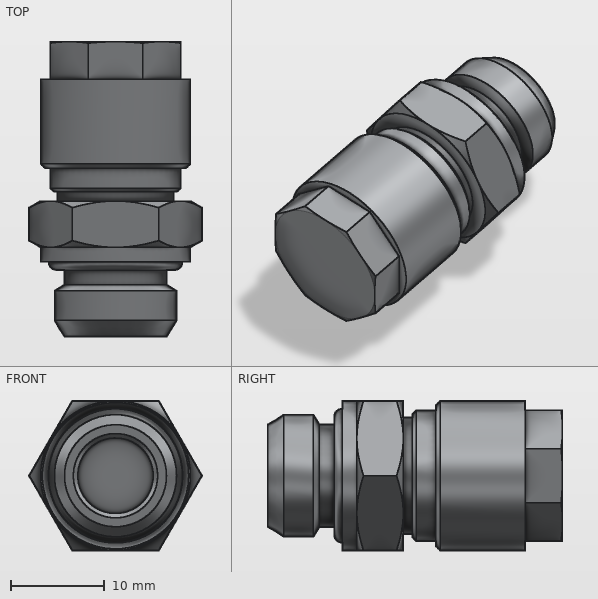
import cadquery as cq
import math

length = 31.5

nose_bevel_end = 1.73
nose_end = 4.88
groove_start = 5.55
collar_start = 8.0
hex_start = 9.55
hex_end = 14.5
ring_bevel_start = 15.47
ring_start = 15.88
sleeve_start = 18.0
sleeve_bevel = 0.47
sleeve_end = 27.5

tip_radius = 5.45
nose_radius = 6.52
groove_radius = 5.48
body_radius = 8.0
neck_radius = 6.25
ring_radius = 7.0
ring_bevel = 0.45

gap_width = 0.25
gap_end = sleeve_start + 0.63

bore_radius = 4.03
bore_bevel = 0.47
bore_depth = 1.42

seal_front = 7.12
seal_section_radius = 0.85
seal_center_radius = 6.3
seal_center = seal_front + seal_section_radius
seat_floor = collar_start + 0.63
seat_mouth_radius = 7.8
seat_floor_radius = 7.18

hex_sides = 6
hex_flats = 2 * body_radius
hex_bevel_angle = 30
octagon_sides = 8
octagon_flats = 2 * ring_radius
octagon_bevel_angle = 15
octagon_turn = 180 / octagon_sides

tip_y = -length / 2


def revolve_profile(stations):
    """Revolve (station, radius) points, closed along the axis, about Y."""
    points = [(radius, tip_y + station) for station, radius in stations]
    points = [(0, points[0][1])] + points + [(0, points[-1][1])]
    return cq.Workplane("XY").polyline(points).close().revolve(360, (0, 0), (0, 1))


def prism(sides, flats, start, end, turn=0):
    """Regular prism along Y, turned about its axis by the given angle."""
    corner_diameter = flats / math.cos(math.pi / sides)
    return (
        cq.Workplane("XZ", origin=(0, tip_y + start, 0))
        .polygon(sides, corner_diameter)
        .extrude(start - end)
        .rotate((0, 0, 0), (0, 1, 0), turn)
    )


def corner_bevel(sides, flats, angle):
    """Corner radius and axial depth of a bevel starting at the flats."""
    corner_radius = flats / 2 / math.cos(math.pi / sides)
    depth = (corner_radius - flats / 2) * math.tan(math.radians(angle))
    return corner_radius, depth


def make_hexagon():
    corner_radius, depth = corner_bevel(hex_sides, hex_flats, hex_bevel_angle)
    envelope = revolve_profile([
        (hex_start, hex_flats / 2),
        (hex_start + depth, corner_radius),
        (hex_end - depth, corner_radius),
        (hex_end, hex_flats / 2),
    ])
    return prism(hex_sides, hex_flats, hex_start, hex_end).intersect(envelope)


def make_octagon():
    corner_radius, depth = corner_bevel(octagon_sides, octagon_flats, octagon_bevel_angle)
    envelope = revolve_profile([
        (sleeve_end, corner_radius),
        (length - depth, corner_radius),
        (length, octagon_flats / 2),
    ])
    drive = prism(octagon_sides, octagon_flats, sleeve_end, length, octagon_turn)
    return drive.intersect(envelope)


def make_turned_body():
    return revolve_profile([
        (0, tip_radius),
        (nose_bevel_end, nose_radius),
        (nose_end, nose_radius),
        (groove_start, groove_radius),
        (seat_floor, groove_radius),
        (seat_floor, seat_floor_radius),
        (collar_start, seat_mouth_radius),
        (collar_start, body_radius),
        (hex_start, body_radius),
        (hex_start, neck_radius),
        (ring_bevel_start, neck_radius),
        (ring_bevel_start, ring_radius - ring_bevel),
        (ring_start, ring_radius),
        (gap_end, ring_radius),
        (gap_end, ring_radius + gap_width),
        (sleeve_start, ring_radius + gap_width),
        (sleeve_start, body_radius - sleeve_bevel),
        (sleeve_start + sleeve_bevel, body_radius),
        (sleeve_end, body_radius),
        (sleeve_end, ring_radius),
    ])


def make_seal():
    """Round ring pressed slightly onto the groove and partly embedded in the collar."""
    return (
        cq.Workplane("XY")
        .center(seal_center_radius, tip_y + seal_center)
        .circle(seal_section_radius)
        .revolve(360, (-seal_center_radius, 0), (-seal_center_radius, 1))
    )


bore = revolve_profile([
    (0, bore_radius + bore_bevel),
    (bore_bevel, bore_radius),
    (bore_depth, bore_radius),
])

result = (
    make_turned_body()
    .union(make_hexagon())
    .union(make_octagon())
    .union(make_seal())
    .cut(bore)
)